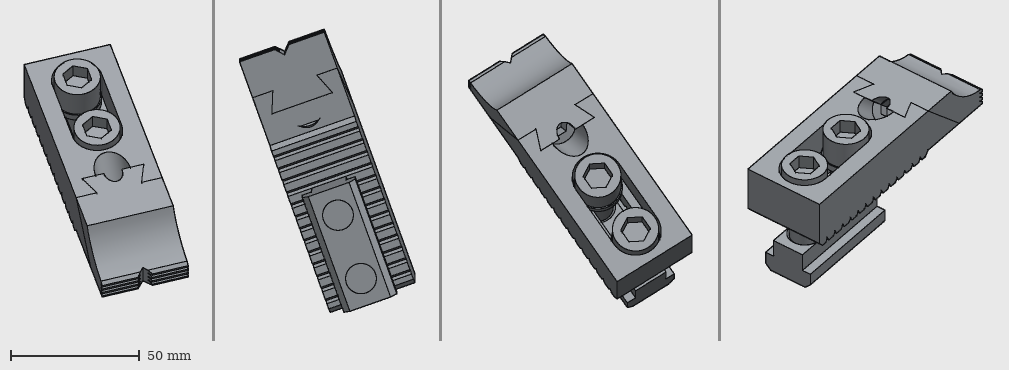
import cadquery as cq
import math

SQRT2 = math.sqrt(2)

length = 105.0
width = 35.0
height = 20.1
overall_height = 51.0

rack_length = 69.9
rack_pitches = 14
pitch = rack_length / rack_pitches
tooth_height = 2.2
rack_end_run = 1.9
notch_depth = 2.0
notch_half_width = 0.9

joint_x = rack_length
dovetail_depth = 8.5
dovetail_neck = 18.2
dovetail_base = 25.0
dovetail_x = joint_x - dovetail_depth

bolt_middle_x = 26.8
bolt_spacing = 26.6
bolt_xs = [bolt_middle_x - bolt_spacing / 2, bolt_middle_x + bolt_spacing / 2]
shank_diameter = 12.0
head_diameter = 18.0
head_height = 12.0
head_rise = 2.0
hex_sides = 6
hex_turn = 90
head_hex = 10.0
head_hex_depth = 6.0
head_top = height + head_rise
head_bottom = head_top - head_height
flange_diameter = 19.0
flange_thickness = 2.9
slot_floor = head_bottom - flange_thickness
slot_width = 20.0
slot_through_width = 13.0

nut_length = 48.1
nut_height = 16.0
nut_flange_height = 8.0
nut_flange_width = 21.8
nut_neck_width = 14.2
nut_chamfer = 2.5
nut_bottom = head_top - overall_height
nut_top = nut_bottom + nut_height
countersink_diameter = 13.9
countersink_angle = 90

screw_radius = 7.0
screw_start = 8.7
screw_length = 13.8
screw_end = screw_start + screw_length
screw_hex = 6.5
screw_hex_depth = 5.2
key_hole_radius = 3.7
cut_over_run = 10.5

nose_top_x = 84.7
nose_curve_middle = (91.1, 12.8)
nose_curve_end = (103.4, 8.0)
nose_tip_z = 7.0
grip_count = 3
grip_pitch = 2.1
grip_first_z = 0.7
grip_height = 1.3
grip_depth = 1.6
vee_depth = 3.3
vee_half_width = 2.9


def side_extrusion(outline):
    """Close an XZ outline and extrude it over the full width, centred on Y = 0."""
    return outline.close().extrude(width / 2, both=True)


def screw_axis_cylinder(radius, start, end):
    """Cylinder along the clamping screw axis, between two distances from the top face."""
    return screw_plane(start).circle(radius).extrude(end - start)


def screw_plane(distance):
    """Plane square to the clamping screw axis, its local X along the Y axis."""
    drop = distance / SQRT2
    origin = (dovetail_x + drop, 0, height - drop)
    return cq.Workplane(cq.Plane(origin=origin, xDir=(0, 1, 0), normal=(1, 0, -1)))


def jaw_region():
    """Everything on the jaw side of the joint: the sloping front region plus the dovetail tongue."""
    far = length + height
    front = side_extrusion(
        cq.Workplane("XZ")
        .moveTo(joint_x, height)
        .lineTo(far, height)
        .lineTo(far, 0)
        .lineTo(joint_x + height, 0)
    )
    slope = cq.Vector(height, 0, -height)
    tongue_outline = cq.Wire.makePolygon(
        [
            cq.Vector(joint_x, -dovetail_neck / 2, height),
            cq.Vector(dovetail_x, -dovetail_base / 2, height),
            cq.Vector(dovetail_x, dovetail_base / 2, height),
            cq.Vector(joint_x, dovetail_neck / 2, height),
        ],
        close=True,
    )
    tongue = cq.Solid.extrudeLinear(tongue_outline, [], slope)
    return front.union(cq.Workplane(tongue))


def make_base():
    body = side_extrusion(
        cq.Workplane("XZ")
        .moveTo(0, height)
        .lineTo(joint_x, height)
        .lineTo(joint_x + height, 0)
        .lineTo(rack_length, 0)
        .lineTo(rack_length - rack_end_run, -tooth_height)
        .lineTo(rack_end_run, -tooth_height)
        .lineTo(0, 0)
    )
    for index in range(1, rack_pitches):
        notch = (
            cq.Workplane("XZ")
            .moveTo(index * pitch - notch_half_width, -tooth_height)
            .lineTo(index * pitch, notch_depth - tooth_height)
            .lineTo(index * pitch + notch_half_width, -tooth_height)
        )
        body = body.cut(side_extrusion(notch))

    for slot, floor in ((slot_width, slot_floor), (slot_through_width, -tooth_height)):
        pocket = (
            cq.Workplane("XY", origin=(bolt_middle_x, 0, floor))
            .slot2D(bolt_spacing + slot, slot)
            .extrude(height - floor)
        )
        body = body.cut(pocket)

    body = body.cut(jaw_region())
    return body.cut(screw_axis_cylinder(screw_radius, -cut_over_run, screw_end))


def make_jaw():
    profile = side_extrusion(
        cq.Workplane("XZ")
        .moveTo(0, 0)
        .lineTo(0, height)
        .lineTo(nose_top_x, height)
        .threePointArc(nose_curve_middle, nose_curve_end)
        .lineTo(length, nose_tip_z)
        .lineTo(length, 0)
    )
    jaw = profile.intersect(jaw_region())

    for index in range(grip_count):
        bottom = grip_first_z + index * grip_pitch
        groove = (
            cq.Workplane("XZ")
            .moveTo(length, bottom)
            .lineTo(length - grip_depth, bottom + grip_height)
            .lineTo(length, bottom + grip_height)
        )
        jaw = jaw.cut(side_extrusion(groove))

    vee = (
        cq.Workplane("XY")
        .moveTo(length - vee_depth, 0)
        .lineTo(length, vee_half_width)
        .lineTo(length, -vee_half_width)
        .close()
        .extrude(height)
    )
    jaw = jaw.cut(vee)

    jaw = jaw.cut(screw_axis_cylinder(key_hole_radius, -cut_over_run, screw_start))
    return jaw.cut(screw_axis_cylinder(screw_radius, screw_start, screw_end))


def make_clamp_screw():
    socket = (
        screw_plane(screw_start)
        .transformed(rotate=(0, 0, hex_turn))
        .polygon(hex_sides, screw_hex, circumscribed=True)
        .extrude(screw_hex_depth)
    )
    return screw_axis_cylinder(screw_radius, screw_start, screw_end).cut(socket)


def bolt_cylinder(x, diameter, bottom, top):
    return cq.Workplane("XY", origin=(x, 0, bottom)).circle(diameter / 2).extrude(top - bottom)


def make_bolt(x):
    head = bolt_cylinder(x, head_diameter, head_bottom, head_top)
    flange = bolt_cylinder(x, flange_diameter, slot_floor, head_bottom)
    shank = bolt_cylinder(x, shank_diameter, nut_bottom, slot_floor)
    socket = (
        cq.Workplane("XY", origin=(x, 0, head_top))
        .transformed(rotate=(0, 0, hex_turn))
        .polygon(hex_sides, head_hex, circumscribed=True)
        .extrude(-head_hex_depth)
    )
    return head.union(flange).union(shank).cut(socket)


def make_nut():
    flange = (
        cq.Workplane("XY", origin=(bolt_middle_x, 0, nut_bottom))
        .box(nut_length, nut_flange_width, nut_flange_height, centered=(True, True, False))
        .edges("|X and <Z")
        .chamfer(nut_chamfer)
    )
    neck = cq.Workplane("XY", origin=(bolt_middle_x, 0, nut_bottom)).box(
        nut_length, nut_neck_width, nut_height, centered=(True, True, False)
    )
    return (
        flange.union(neck)
        .faces(">Z")
        .workplane(origin=(0, 0, nut_top))
        .pushPoints([(x, 0) for x in bolt_xs])
        .cskHole(shank_diameter, countersink_diameter, countersink_angle)
    )


base = make_base()
jaw = make_jaw()
clamp_screw = make_clamp_screw()
nut = make_nut()
bolts = [make_bolt(x) for x in bolt_xs]

result = cq.Compound.makeCompound(
    [body.val() for body in [base, jaw, clamp_screw, nut, *bolts]]
)